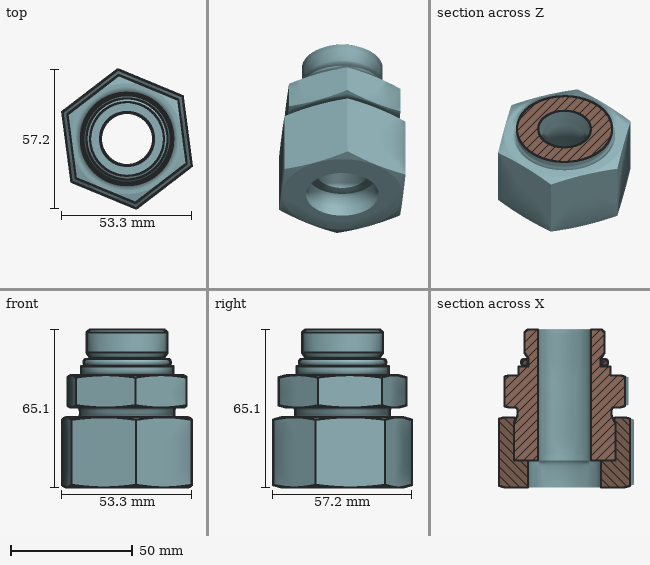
import cadquery as cq
import math

TOTAL_HEIGHT = 65.1
NUT_HEIGHT = 29.0
HEX_BOTTOM = 32.85
HEX_TOP = 46.3
COLLAR_TOP = 50.0
CONE_BOTTOM = 53.3
CONE_TOP = 55.6
BODY_BOTTOM = 11.0

HEX_TURN = 7.5
NUT_FLATS = 50.0
NUT_CHAMFER_DIA = 49.5
BODY_FLATS = 46.0
BODY_CHAMFER_DIA = 45.6
HEX_CHAMFER_ANGLE = 15.0

BORE_DIA = 21.5
BORE_CHAMFER = 0.35
STUD_DIA = 33.34
STUD_END_DIA = 30.35
STUD_CHAMFER_HEIGHT = 1.2
COLLAR_DIA = 38.1
COLLAR_CHAMFER = 0.2
RELIEF_DIA = 39.0
RELIEF_FLARE_DIA = 39.84
RELIEF_FILLET = 1.5
RELIEF_HEIGHT = 3.0
RELIEF_RUNOUT_ANGLE = 30.0

THREAD_DIA = 42.0
THREAD_CORE_DIA = 39.84

SEAL_SECTION = 3.0
SEAL_INNER_DIA = 30.0
TUBE_DIA = 30.0


def chamfered_hex(across_flats, chamfer_dia, bottom, top):
    """Hexagonal prism with its corners turned down by a shallow cone at both ends."""
    corner_dia = across_flats / math.cos(math.radians(30))
    corner_radius = corner_dia / 2
    face_radius = chamfer_dia / 2
    drop = (corner_radius - face_radius) * math.tan(math.radians(HEX_CHAMFER_ANGLE))
    prism = (
        cq.Workplane("XY")
        .workplane(offset=bottom)
        .polygon(6, corner_dia)
        .extrude(top - bottom)
        .rotate((0, 0, 0), (0, 0, 1), 30 + HEX_TURN)
    )
    turned_blank = (
        cq.Workplane("XZ")
        .moveTo(0, bottom)
        .lineTo(face_radius, bottom)
        .lineTo(corner_radius, bottom + drop)
        .lineTo(corner_radius, top - drop)
        .lineTo(face_radius, top)
        .lineTo(0, top)
        .close()
        .revolve(360, (0, 0, 0), (0, 1, 0))
    )
    return prism.intersect(turned_blank)


def make_stud():
    """Turned upper end: collar, seal groove, cone and stud with a chamfered mouth."""
    bore_radius = BORE_DIA / 2
    collar_radius = COLLAR_DIA / 2
    groove_radius = SEAL_INNER_DIA / 2
    stud_radius = STUD_DIA / 2
    end_radius = STUD_END_DIA / 2
    return (
        cq.Workplane("XZ")
        .moveTo(bore_radius, HEX_TOP)
        .lineTo(collar_radius, HEX_TOP)
        .lineTo(collar_radius, COLLAR_TOP - COLLAR_CHAMFER)
        .lineTo(collar_radius - COLLAR_CHAMFER, COLLAR_TOP)
        .lineTo(groove_radius, COLLAR_TOP)
        .lineTo(groove_radius, CONE_BOTTOM)
        .lineTo(end_radius, CONE_BOTTOM)
        .lineTo(stud_radius, CONE_TOP)
        .lineTo(stud_radius, TOTAL_HEIGHT - STUD_CHAMFER_HEIGHT)
        .lineTo(end_radius, TOTAL_HEIGHT)
        .lineTo(bore_radius + BORE_CHAMFER, TOTAL_HEIGHT)
        .lineTo(bore_radius, TOTAL_HEIGHT - BORE_CHAMFER)
        .close()
        .revolve(360, (0, 0, 0), (0, 1, 0))
    )


def make_nut_end():
    """Turned lower end: the relief groove under the hexagon and the thread inside the nut."""
    bore_radius = BORE_DIA / 2
    thread_radius = THREAD_DIA / 2
    relief_radius = RELIEF_DIA / 2
    flare_radius = RELIEF_FLARE_DIA / 2

    fillet_center = relief_radius + RELIEF_FILLET
    relief_top = HEX_BOTTOM - math.sqrt(RELIEF_FILLET**2 - (fillet_center - flare_radius) ** 2)

    runout = math.radians(RELIEF_RUNOUT_ANGLE)
    relief_bottom = HEX_BOTTOM - RELIEF_HEIGHT
    cone_top = relief_bottom - RELIEF_FILLET * math.sin(runout)
    cone_top_radius = fillet_center - RELIEF_FILLET * math.cos(runout)
    thread_top = cone_top - (thread_radius - cone_top_radius) / math.tan(runout)

    return (
        cq.Workplane("XZ")
        .moveTo(bore_radius, BODY_BOTTOM)
        .lineTo(thread_radius, BODY_BOTTOM)
        .lineTo(thread_radius, thread_top)
        .lineTo(cone_top_radius, cone_top)
        .radiusArc((relief_radius, relief_bottom), RELIEF_FILLET)
        .lineTo(relief_radius, relief_top)
        .radiusArc((flare_radius, HEX_BOTTOM), RELIEF_FILLET)
        .lineTo(bore_radius, HEX_BOTTOM)
        .close()
        .revolve(360, (0, 0, 0), (0, 1, 0))
    )


def make_body():
    """Fitting body with a through bore."""
    bore = (
        cq.Workplane("XY")
        .workplane(offset=HEX_BOTTOM)
        .circle(BORE_DIA / 2)
        .extrude(HEX_TOP - HEX_BOTTOM)
    )
    hexagon = chamfered_hex(BODY_FLATS, BODY_CHAMFER_DIA, HEX_BOTTOM, HEX_TOP).cut(bore)
    return hexagon.union(make_stud()).union(make_nut_end())


def make_nut(body):
    """Union nut: a tube hole, a core hole with a chamfered mouth, and room for the body's thread."""
    tube_radius = TUBE_DIA / 2
    core_radius = THREAD_CORE_DIA / 2
    mouth_radius = THREAD_DIA / 2
    mouth_depth = mouth_radius - core_radius
    cavity = (
        cq.Workplane("XZ")
        .lineTo(tube_radius, 0)
        .lineTo(tube_radius, BODY_BOTTOM)
        .lineTo(core_radius, BODY_BOTTOM)
        .lineTo(core_radius, NUT_HEIGHT - mouth_depth)
        .lineTo(mouth_radius, NUT_HEIGHT)
        .lineTo(0, NUT_HEIGHT)
        .close()
        .revolve(360, (0, 0, 0), (0, 1, 0))
    )
    blank = chamfered_hex(NUT_FLATS, NUT_CHAMFER_DIA, 0, NUT_HEIGHT)
    return blank.cut(cavity).cut(body)


def make_seal_ring():
    """Round-section ring lying on the collar in the seal groove."""
    section_radius = SEAL_SECTION / 2
    ring_radius = SEAL_INNER_DIA / 2 + section_radius
    return (
        cq.Workplane("XZ")
        .center(ring_radius, COLLAR_TOP + section_radius)
        .circle(section_radius)
        .revolve(360, (-ring_radius, 0, 0), (-ring_radius, 1, 0))
    )


body = make_body()
nut = make_nut(body)
seal_ring = make_seal_ring()

result = cq.Compound.makeCompound([body.val(), nut.val(), seal_ring.val()])